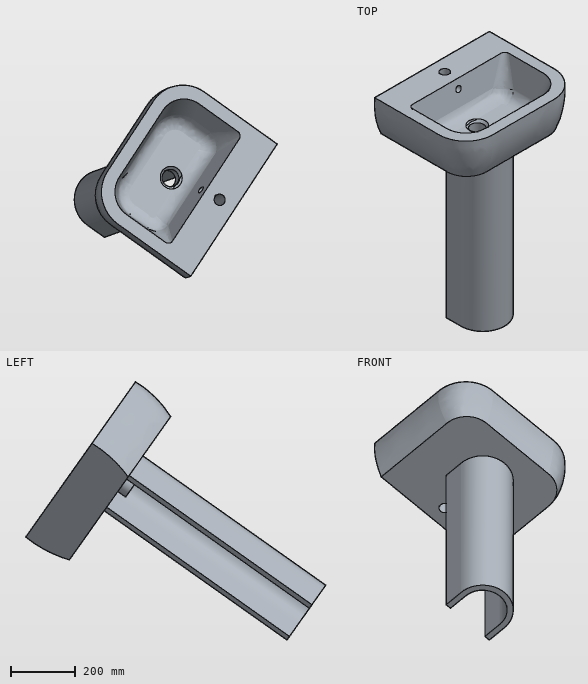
import cadquery as cq
import math


basin_height = 151.0
rim_width = 500.5
rim_depth = 398.0
rim_corner = 117.5
belly_drop = 58.0
belly_inset = 1.0
base_side_inset = 29.0
base_front_inset = 25.0
base_corner = 86.0

bowl_back = 108.0
rim_land = 41.0
bowl_rear_corner = 17.0
bowl_floor_corner = 55.5
bowl_front_corner = 83.0
bowl_depth = 131.0
bowl_side_draft = 37.0
bowl_back_draft = 28.0
bowl_floor_fillet = 46.0

tap_radius = 18.0
tap_from_wall = 55.5
overflow_radius = 11.0
overflow_drop = 35.0
overflow_end = 83.0
drain_from_wall = 197.0
drain_radius = 27.0
drain_seat_radius = 35.0
drain_seat_depth = 9.0
drain_pipe_radius = 38.0
drain_pipe_drop = 30.0

pedestal_height = 690.0
pedestal_from_wall = 211.0
pedestal_offset = 10.0
pedestal_radius = 94.0
pedestal_wall = 19.0
pedestal_straight = 66.0

base_level = pedestal_height
rim_level = base_level + basin_height
bowl_floor = rim_level - bowl_depth


def basin_outline(level, side_inset, front_inset, corner):
    """Outline with a square back and two round front corners."""
    half = rim_width / 2 - side_inset
    front = rim_depth - front_inset
    diagonal = corner * (1 - math.sqrt(0.5))
    return (
        cq.Workplane("XY", origin=(0, 0, level))
        .moveTo(0, -half)
        .lineTo(front - corner, -half)
        .threePointArc((front - diagonal, -half + diagonal), (front, -half + corner))
        .lineTo(front, half - corner)
        .threePointArc((front - diagonal, half - diagonal), (front - corner, half))
        .lineTo(0, half)
        .close()
        .val()
    )


def bowl_outline(level, side_inset, back_inset, rear_corner):
    """Opening of the bowl, shrunk by the given insets."""
    back = bowl_back + back_inset
    front = rim_depth - rim_land - side_inset
    width = rim_width - 2 * (rim_land + side_inset)
    outline = (
        cq.Sketch()
        .push([((back + front) / 2, 0)])
        .rect(front - back, width)
        .reset()
        .vertices("<X")
        .fillet(rear_corner)
        .reset()
        .vertices(">X")
        .fillet(bowl_front_corner)
    )
    return outline.moved(cq.Location(cq.Vector(0, 0, level)))


def make_bowl():
    """Solid that is hollowed out of the basin."""
    return (
        cq.Workplane("XY")
        .placeSketch(
            bowl_outline(bowl_floor, bowl_side_draft, bowl_back_draft, bowl_floor_corner),
            bowl_outline(rim_level, 0, 0, bowl_rear_corner),
        )
        .loft()
        .faces("<Z")
        .edges()
        .fillet(bowl_floor_fillet)
    )


def vertical_cylinder(from_wall, radius, bottom, top):
    """Upright cylinder on the centre line."""
    return cq.Workplane("XY", origin=(from_wall, 0, bottom)).circle(radius).extrude(top - bottom)


def make_basin():
    """Basin with its bowl, tap hole, overflow hole and drain pipe."""
    body = cq.Workplane(
        cq.Solid.makeLoft([
            basin_outline(rim_level, 0, 0, rim_corner),
            basin_outline(rim_level - belly_drop, belly_inset, belly_inset, rim_corner),
            basin_outline(base_level, base_side_inset, base_front_inset, base_corner),
        ])
    )
    pipe_end = base_level - drain_pipe_drop
    pipe = vertical_cylinder(drain_from_wall, drain_pipe_radius, pipe_end, bowl_floor - drain_seat_depth)
    bore = vertical_cylinder(drain_from_wall, drain_radius, pipe_end, rim_level)
    seat = cq.Workplane(
        cq.Solid.makeCone(
            drain_radius,
            drain_seat_radius,
            drain_seat_depth,
            pnt=cq.Vector(drain_from_wall, 0, bowl_floor - drain_seat_depth),
        )
    )
    tap_hole = vertical_cylinder(tap_from_wall, tap_radius, base_level, rim_level)
    overflow = (
        cq.Workplane("YZ", origin=(overflow_end, 0, rim_level - overflow_drop))
        .circle(overflow_radius)
        .extrude(drain_from_wall - overflow_end)
    )
    return body.union(pipe).cut(make_bowl()).cut(seat).cut(bore).cut(tap_hole).cut(overflow)


def u_prism(radius):
    """Upright prism, flat at the back and half round at the front."""
    back = pedestal_from_wall - pedestal_straight
    return (
        cq.Workplane("XY", origin=(0, pedestal_offset, 0))
        .moveTo(back, -radius)
        .lineTo(pedestal_from_wall, -radius)
        .threePointArc((pedestal_from_wall + radius, 0), (pedestal_from_wall, radius))
        .lineTo(back, radius)
        .close()
        .extrude(pedestal_height)
    )


def make_pedestal():
    """Half-round column, open towards the wall."""
    return u_prism(pedestal_radius).cut(u_prism(pedestal_radius - pedestal_wall))


tilted = cq.Location(
    cq.Plane(
        origin=(0, 0, 0),
        xDir=(math.sqrt(1 / 2), -math.sqrt(1 / 6), math.sqrt(1 / 3)),
        normal=(0, math.sqrt(2 / 3), math.sqrt(1 / 3)),
    )
)

basin = make_basin().solids().val().moved(tilted)
pedestal = make_pedestal().solids().val().moved(tilted)

result = cq.Compound.makeCompound([basin, pedestal])